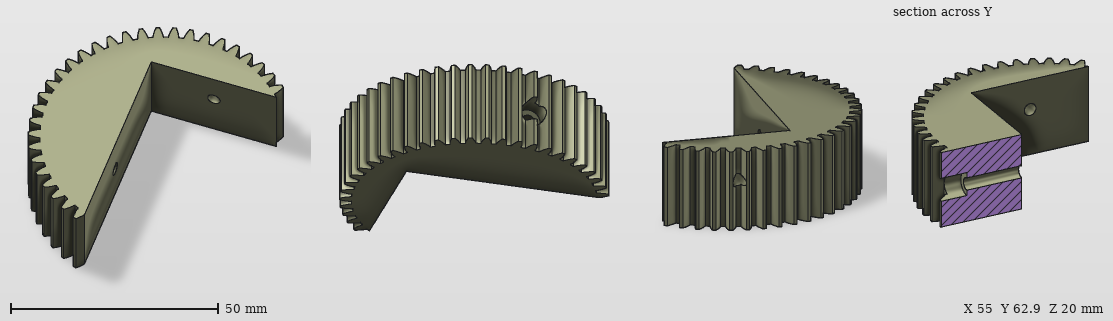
import cadquery as cq
import math

TOOTH_COUNT = 50
MODULE = 1.25
DEDENDUM_FACTOR = 1.25
PRESSURE_ANGLE = math.radians(20)
BACKLASH = 0.125
WIDTH = 20.0

PITCH_RADIUS = MODULE * TOOTH_COUNT / 2
TIP_RADIUS = PITCH_RADIUS + MODULE
ROOT_RADIUS = PITCH_RADIUS - DEDENDUM_FACTOR * MODULE
BASE_RADIUS = PITCH_RADIUS * math.cos(PRESSURE_ANGLE)

TOOTH_STEP = 2 * math.pi / TOOTH_COUNT
FIRST_TOOTH = -6
LAST_TOOTH = 22

CORNER_X = -10.0
CORNER_Y = 20.0

HOLE_DIAMETER = 3.15
COUNTERBORE_DIAMETER = 6.0
COUNTERBORE_DEPTH = 7.5
X_HOLE_Y = -6.2
X_HOLE_Z = WIDTH / 2
Y_HOLE_X = 6.0
Y_HOLE_Z = 12.0


def involute(angle):
    """Polar angle swept by an involute at the given pressure angle."""
    return math.tan(angle) - angle


def half_tooth_angle(radius):
    """Half the angle that a tooth spans at the given radius."""
    at_pitch = (math.pi * MODULE / 2 - BACKLASH) / (2 * PITCH_RADIUS)
    local_pressure = math.acos(BASE_RADIUS / radius)
    return at_pitch + involute(PRESSURE_ANGLE) - involute(local_pressure)


def polar(radius, angle):
    """Point at the given radius and angle from +X."""
    return (radius * math.cos(angle), radius * math.sin(angle))


def root_arc(outline, start, end):
    """Follow the root circle between two angles."""
    return outline.threePointArc(polar(ROOT_RADIUS, (start + end) / 2), polar(ROOT_RADIUS, end))


def add_tooth(outline, middle):
    """Add a flank, the tip and the other flank, starting and ending on the root circle."""
    root = half_tooth_angle(ROOT_RADIUS)
    pitch = half_tooth_angle(PITCH_RADIUS)
    tip = half_tooth_angle(TIP_RADIUS)
    outline = outline.threePointArc(polar(PITCH_RADIUS, middle - pitch), polar(TIP_RADIUS, middle - tip))
    outline = outline.threePointArc(polar(TIP_RADIUS, middle), polar(TIP_RADIUS, middle + tip))
    return outline.threePointArc(polar(PITCH_RADIUS, middle + pitch), polar(ROOT_RADIUS, middle + root))


def toothed_sector():
    """Sector of the gear, closed through the gear centre."""
    root = half_tooth_angle(ROOT_RADIUS)
    angle = math.asin(CORNER_Y / ROOT_RADIUS)
    outline = cq.Workplane("XY").lineTo(*polar(ROOT_RADIUS, angle))
    for number in range(FIRST_TOOTH, LAST_TOOTH + 1):
        middle = math.pi / 2 + number * TOOTH_STEP
        outline = root_arc(outline, angle, middle - root)
        outline = add_tooth(outline, middle)
        angle = middle + root
    return outline.close().extrude(WIDTH)


def corner_cut():
    """Block below CORNER_Y and right of CORNER_X."""
    size = 2 * TIP_RADIUS
    block = cq.Workplane("XY").box(size, size, WIDTH, centered=False)
    return block.translate((CORNER_X, CORNER_Y - size, 0))


def x_hole():
    """Hole along X, counterbored from the toothed side."""
    axis = cq.Workplane("YZ", origin=(-TIP_RADIUS, X_HOLE_Y, X_HOLE_Z))
    hole = axis.circle(HOLE_DIAMETER / 2).extrude(TIP_RADIUS)
    counterbore = axis.circle(COUNTERBORE_DIAMETER / 2).extrude(COUNTERBORE_DEPTH)
    return hole.union(counterbore)


def y_hole():
    """Plain hole along Y, through to the teeth."""
    axis = cq.Workplane("XZ", origin=(Y_HOLE_X, TIP_RADIUS, Y_HOLE_Z))
    return axis.circle(HOLE_DIAMETER / 2).extrude(TIP_RADIUS)


result = toothed_sector().cut(corner_cut()).cut(x_hole()).cut(y_hole())